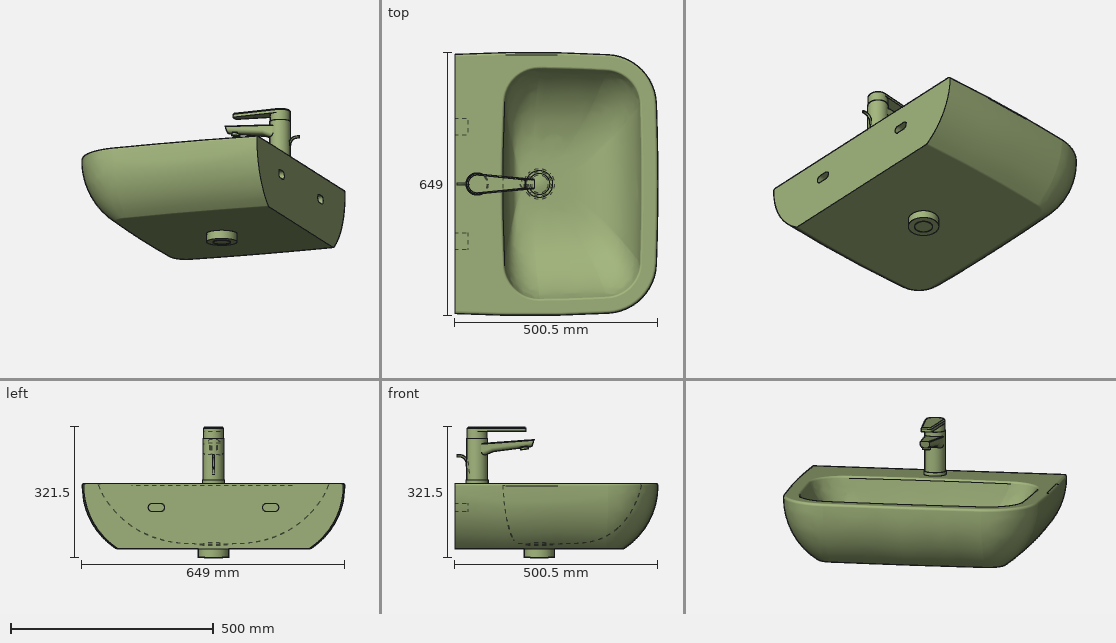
import cadquery as cq
import math

BASIN_LENGTH = 500.5
BASIN_HALF_WIDTH = 324.5
BASIN_HEIGHT = 161.5
FRONT_BOW_RADIUS = 5322.0
SIDE_BOW_RADIUS = 3407.0
SIDE_BOW_X = 182.0
CORNER_RADIUS = 126.0
RIM_FILLET = 6.5
BOTTOM_FILLET = 8.0
UNDERCUT = 84.5

RIM_WIDTH = 39.5
BOWL_BACK = 117.5
BACK_BOW_RADIUS = 4153.5
BOWL_DEPTH = 149.0
BOWL_RIM_FILLET = 5.0
BOWL_STEPS = 6
DEPTH_POWER = 1.3
SIDE_WALL_POWER = 0.4
END_WALL_POWER = 0.28

SLOT_LENGTH = 40.0
SLOT_HEIGHT = 20.0
SLOT_DEPTH = 32.5
SLOT_SPACING = 281.5
SLOT_Z = -60.0

DRAIN_X = 208.0
FLANGE_DIAMETER = 66.0
FLANGE_THICKNESS = 3.0
NECK_DIAMETER = 60.0
TAIL_DIAMETER = 75.0
TAIL_LENGTH = 21.0
LIP_DIAMETER = 44.0
LIP_HEIGHT = 1.0
STOPPER_DIAMETER = 52.0
STOPPER_SEAT_DEPTH = 4.0
STOPPER_DOME = 4.0

FAUCET_X = 54.5
BASE_DIAMETER = 55.0
BASE_HEIGHT = 8.5
COLUMN_DIAMETER = 52.0
COLUMN_TOP = 110.0
HEAD_DIAMETER = 50.0
HEAD_TOP = 138.0
LEVER_TIP_X = 175.0
LEVER_TIP_HALF_WIDTH = 13.0
LEVER_THICKNESS = 10.5
LEVER_TIP_RADIUS = 5.0
LEVER_EDGE = 3.0

SPOUT_ROOT_HALF_WIDTH = 24.5
SPOUT_TIP_X = 195.5
SPOUT_TIP_HALF_WIDTH = 12.0
SPOUT_ROOT_TOP = 97.5
SPOUT_TIP_TOP = 108.0
SPOUT_UNDERSIDE = [(189.5, 90.0), (95.0, 78.0), (69.0, 67.0)]
SPOUT_UNDER_FILLET = 10.0
SPOUT_TOP_CHAMFER = 2.0

AERATOR_DIAMETER = 20.0
AERATOR_X = 171.0
AERATOR_LENGTH = 8.0
AERATOR_DROP = 4.5

ROD_DIAMETER = 6.0
ROD_START_X = 4.5
ROD_BEND_X = 12.0
ROD_TOP = 67.5
ROD_BEND_RADIUS = 18.0
ROD_BEND_ANGLE = math.radians(84)
ROD_STEM_LENGTH = 29.0


def point_on(center, radius, direction):
    length = math.hypot(*direction)
    return (center[0] + radius * direction[0] / length, center[1] + radius * direction[1] / length)


def round_corner(center_a, radius_a, center_b, radius_b, corner_radius):
    """Start, middle and end of the +Y arc that rounds the corner between two large circles."""
    reach_a = radius_a - corner_radius
    reach_b = radius_b - corner_radius
    dx = center_b[0] - center_a[0]
    dy = center_b[1] - center_a[1]
    gap = math.hypot(dx, dy)
    along = (reach_a**2 - reach_b**2 + gap**2) / (2 * gap)
    across = math.copysign(math.sqrt(reach_a**2 - along**2), dx)
    x = center_a[0] + (along * dx - across * dy) / gap
    y = center_a[1] + (along * dy + across * dx) / gap
    to_a = ((x - center_a[0]) / reach_a, (y - center_a[1]) / reach_a)
    to_b = ((x - center_b[0]) / reach_b, (y - center_b[1]) / reach_b)
    middle = (to_a[0] + to_b[0], to_a[1] + to_b[1])
    return [point_on((x, y), corner_radius, way) for way in (to_a, middle, to_b)]


def mirrored(point):
    return (point[0], -point[1])


def skirt_cutter():
    """Half of the material outside the basin skirt, swept from the front middle to the wall."""
    front_center = (BASIN_LENGTH - FRONT_BOW_RADIUS, 0)
    side_center = (SIDE_BOW_X, BASIN_HALF_WIDTH - SIDE_BOW_RADIUS)
    start, middle, end = round_corner(
        front_center, FRONT_BOW_RADIUS, side_center, SIDE_BOW_RADIUS, CORNER_RADIUS
    )
    past_wall = -SIDE_BOW_X / 4
    side_middle = (SIDE_BOW_X, BASIN_HALF_WIDTH)
    side_end = point_on(
        side_center,
        SIDE_BOW_RADIUS,
        (past_wall - SIDE_BOW_X, math.sqrt(SIDE_BOW_RADIUS**2 - (past_wall - SIDE_BOW_X) ** 2)),
    )
    front_middle = point_on(front_center, FRONT_BOW_RADIUS, (FRONT_BOW_RADIUS, start[1] / 2))
    path = (
        cq.Workplane("XY")
        .moveTo(BASIN_LENGTH, 0)
        .threePointArc(front_middle, start)
        .threePointArc(middle, end)
        .threePointArc(side_middle, side_end)
    )
    margin = 6.5
    outside = BASIN_LENGTH + UNDERCUT
    fillet_shift = RIM_FILLET * (1 - math.sqrt(0.5))
    skirt_drop = BASIN_HEIGHT - RIM_FILLET
    skirt_radius = (skirt_drop**2 + UNDERCUT**2) / (2 * UNDERCUT)
    half_angle = math.asin(skirt_drop / skirt_radius) / 2
    skirt_middle = (
        BASIN_LENGTH - skirt_radius * (1 - math.cos(half_angle)),
        -RIM_FILLET - skirt_radius * math.sin(half_angle),
    )
    profile = (
        cq.Workplane("XZ")
        .moveTo(BASIN_LENGTH - RIM_FILLET, margin)
        .lineTo(BASIN_LENGTH - RIM_FILLET, 0)
        .threePointArc((BASIN_LENGTH - fillet_shift, -fillet_shift), (BASIN_LENGTH, -RIM_FILLET))
        .threePointArc(skirt_middle, (BASIN_LENGTH - UNDERCUT, -BASIN_HEIGHT))
        .lineTo(BASIN_LENGTH - UNDERCUT, -BASIN_HEIGHT - margin)
        .lineTo(outside, -BASIN_HEIGHT - margin)
        .lineTo(outside, margin)
        .close()
    )
    return profile.sweep(path)


def bowl_section(depth):
    """Closed outline of the bowl at one depth, shrinking toward the drain."""
    level = depth / BOWL_DEPTH
    side_part = (1 - level**DEPTH_POWER) ** SIDE_WALL_POWER
    end_part = (1 - level**DEPTH_POWER) ** END_WALL_POWER
    floor_radius = FLANGE_DIAMETER / 2 + 3.0
    rim_front = BASIN_LENGTH - RIM_WIDTH
    rim_half_width = BASIN_HALF_WIDTH - RIM_WIDTH
    rim_corner = CORNER_RADIUS - RIM_WIDTH
    floor_front = DRAIN_X + floor_radius
    floor_back = DRAIN_X - floor_radius
    floor_corner = 0.8 * floor_radius
    front = floor_front + (rim_front - floor_front) * end_part
    back = floor_back + (BOWL_BACK - floor_back) * end_part
    half_width = floor_radius + (rim_half_width - floor_radius) * side_part
    corner = floor_corner + (rim_corner - floor_corner) * side_part

    front_center = (front - FRONT_BOW_RADIUS, 0)
    back_center = (back + BACK_BOW_RADIUS, 0)
    side_x = DRAIN_X + (SIDE_BOW_X - DRAIN_X) * end_part
    side_center = (side_x, half_width - SIDE_BOW_RADIUS)
    front_corner = round_corner(front_center, FRONT_BOW_RADIUS, side_center, SIDE_BOW_RADIUS, corner)
    back_corner = round_corner(side_center, SIDE_BOW_RADIUS, back_center, BACK_BOW_RADIUS, corner)
    side_start, side_end = front_corner[2], back_corner[0]
    side_chord_x = (side_start[0] + side_end[0]) / 2
    side_chord_y = (side_start[1] + side_end[1]) / 2
    side_middle = point_on(
        side_center,
        SIDE_BOW_RADIUS,
        (side_chord_x - side_center[0], side_chord_y - side_center[1]),
    )
    return (
        cq.Workplane("XY", origin=(0, 0, -depth))
        .moveTo(*mirrored(front_corner[0]))
        .threePointArc((front, 0), front_corner[0])
        .threePointArc(*front_corner[1:])
        .threePointArc(side_middle, side_end)
        .threePointArc(*back_corner[1:])
        .threePointArc((back, 0), mirrored(back_corner[2]))
        .threePointArc(*[mirrored(p) for p in reversed(back_corner[:2])])
        .threePointArc(mirrored(side_middle), mirrored(side_start))
        .threePointArc(*[mirrored(p) for p in reversed(front_corner[:2])])
        .close()
        .val()
    )


def bowl_cutter():
    depths = [BOWL_DEPTH * math.sin(math.pi / 2 * step / BOWL_STEPS) for step in range(BOWL_STEPS + 1)]
    return cq.Workplane(cq.Solid.makeLoft([bowl_section(depth) for depth in depths]))


def make_basin():
    block = cq.Workplane("XY").box(
        BASIN_LENGTH + 6.5, 2 * BASIN_HALF_WIDTH + 13, BASIN_HEIGHT, centered=(False, True, False)
    ).translate((0, 0, -BASIN_HEIGHT))
    cutter = skirt_cutter()
    body = block.cut(cutter).cut(cutter.mirror("XZ"))
    body = body.faces("<Z").edges("not <X").fillet(BOTTOM_FILLET)
    body = body.cut(bowl_cutter())
    bowl_rim = body.faces(">Z").val().innerWires()[0]
    body = body.newObject(bowl_rim.Edges()).fillet(BOWL_RIM_FILLET)
    slots = (
        cq.Workplane("YZ")
        .pushPoints([(side * SLOT_SPACING / 2, SLOT_Z) for side in (-1, 1)])
        .slot2D(SLOT_LENGTH, SLOT_HEIGHT)
        .extrude(SLOT_DEPTH)
    )
    return body.cut(slots)


def cylinder(x, bottom, top, diameter):
    return cq.Workplane("XY", origin=(x, 0, bottom)).circle(diameter / 2).extrude(top - bottom)


def make_drain():
    tail_bottom = -BASIN_HEIGHT - TAIL_LENGTH
    flange = cylinder(DRAIN_X, -BOWL_DEPTH - FLANGE_THICKNESS, -BOWL_DEPTH, FLANGE_DIAMETER)
    neck = cylinder(DRAIN_X, -BASIN_HEIGHT, -BOWL_DEPTH, NECK_DIAMETER)
    tail = cylinder(DRAIN_X, tail_bottom, -BASIN_HEIGHT, TAIL_DIAMETER)
    lip = cylinder(DRAIN_X, tail_bottom - LIP_HEIGHT, tail_bottom, LIP_DIAMETER)
    return flange.union(neck).union(tail).union(lip)


def make_stopper():
    radius = STOPPER_DIAMETER / 2
    sphere_radius = (radius**2 + STOPPER_DOME**2) / (2 * STOPPER_DOME)
    half_angle = math.asin(radius / sphere_radius) / 2
    dome_middle = (
        sphere_radius * math.sin(half_angle),
        STOPPER_DOME - sphere_radius * (1 - math.cos(half_angle)),
    )
    return (
        cq.Workplane("XZ", origin=(DRAIN_X, 0, -BOWL_DEPTH))
        .moveTo(0, -STOPPER_SEAT_DEPTH)
        .lineTo(radius, -STOPPER_SEAT_DEPTH)
        .lineTo(radius, 0)
        .threePointArc(dome_middle, (0, STOPPER_DOME))
        .close()
        .revolve(360, (0, 0), (0, 1))
    )


def make_faucet_base():
    return cylinder(FAUCET_X, 0, BASE_HEIGHT, BASE_DIAMETER)


def make_spout():
    side_profile = (
        cq.Workplane("XZ")
        .moveTo(FAUCET_X, SPOUT_UNDERSIDE[-1][1])
        .lineTo(FAUCET_X, SPOUT_ROOT_TOP)
        .lineTo(SPOUT_TIP_X, SPOUT_TIP_TOP)
        .polyline(SPOUT_UNDERSIDE, includeCurrent=True)
        .close()
        .extrude(COLUMN_DIAMETER / 2, both=True)
    )
    plan = (
        cq.Workplane("XY")
        .moveTo(FAUCET_X, SPOUT_ROOT_HALF_WIDTH)
        .lineTo(SPOUT_TIP_X, SPOUT_TIP_HALF_WIDTH)
        .lineTo(SPOUT_TIP_X, -SPOUT_TIP_HALF_WIDTH)
        .lineTo(FAUCET_X, -SPOUT_ROOT_HALF_WIDTH)
        .close()
        .extrude(HEAD_TOP)
    )
    spout = side_profile.intersect(plan)
    tip_bottom = SPOUT_UNDERSIDE[0][1]
    lower_edges = spout.edges("not |Z").edges("not |Y").filter(lambda e: e.Center().z < tip_bottom)
    spout = lower_edges.fillet(SPOUT_UNDER_FILLET)
    return spout.faces(">Z").edges("not |Y").chamfer(SPOUT_TOP_CHAMFER)


def make_faucet_body():
    column = cylinder(FAUCET_X, BASE_HEIGHT, COLUMN_TOP, COLUMN_DIAMETER)
    return column.union(make_spout())


def make_lever():
    """Round head with a flat handle whose edges are tangent to the head."""
    head_radius = HEAD_DIAMETER / 2
    reach = LEVER_TIP_X - FAUCET_X
    to_tip = math.hypot(reach, LEVER_TIP_HALF_WIDTH)
    angle = math.atan2(LEVER_TIP_HALF_WIDTH, reach) + math.acos(head_radius / to_tip)
    tangent = (FAUCET_X + head_radius * math.cos(angle), head_radius * math.sin(angle))
    tip = (LEVER_TIP_X, LEVER_TIP_HALF_WIDTH)
    handle = (
        cq.Workplane("XY", origin=(0, 0, HEAD_TOP - LEVER_THICKNESS))
        .polyline([tangent, tip, mirrored(tip), mirrored(tangent)])
        .close()
        .extrude(LEVER_THICKNESS)
        .edges("|Z and >X")
        .fillet(LEVER_TIP_RADIUS)
    )
    head = cylinder(FAUCET_X, COLUMN_TOP, HEAD_TOP, HEAD_DIAMETER)
    return head.union(handle).faces(">Z").chamfer(LEVER_EDGE)


def make_aerator():
    tip, heel = SPOUT_UNDERSIDE[:2]
    slope = (tip[1] - heel[1]) / (tip[0] - heel[0])
    underside = heel[1] + slope * (AERATOR_X - heel[0])
    plane = cq.Plane(origin=(AERATOR_X, 0, underside), xDir=(0, 1, 0), normal=(slope, 0, -1))
    return (
        cq.Workplane(plane)
        .workplane(offset=AERATOR_DROP - AERATOR_LENGTH)
        .circle(AERATOR_DIAMETER / 2)
        .extrude(AERATOR_LENGTH)
    )


def make_rod():
    bend_end = (
        ROD_BEND_X + ROD_BEND_RADIUS * math.sin(ROD_BEND_ANGLE),
        ROD_TOP - ROD_BEND_RADIUS * (1 - math.cos(ROD_BEND_ANGLE)),
    )
    stem_end = (
        bend_end[0] + ROD_STEM_LENGTH * math.cos(ROD_BEND_ANGLE),
        bend_end[1] - ROD_STEM_LENGTH * math.sin(ROD_BEND_ANGLE),
    )
    path = (
        cq.Workplane("XZ")
        .moveTo(ROD_START_X, ROD_TOP)
        .lineTo(ROD_BEND_X, ROD_TOP)
        .tangentArcPoint(bend_end, relative=False)
        .lineTo(*stem_end)
    )
    return (
        cq.Workplane("YZ", origin=(ROD_START_X, 0, ROD_TOP))
        .circle(ROD_DIAMETER / 2)
        .sweep(path)
    )


stopper = make_stopper()
drain_solid = make_drain()
drain = drain_solid.cut(stopper)
basin = make_basin().cut(drain_solid)
faucet_base = make_faucet_base()
aerator = make_aerator()
rod = make_rod()
faucet_body = make_faucet_body().cut(aerator).cut(rod)
lever = make_lever()

result = cq.Compound.makeCompound([
    basin.val(),
    drain.val(),
    stopper.val(),
    faucet_base.val(),
    faucet_body.val(),
    lever.val(),
    aerator.val(),
    rod.val(),
])